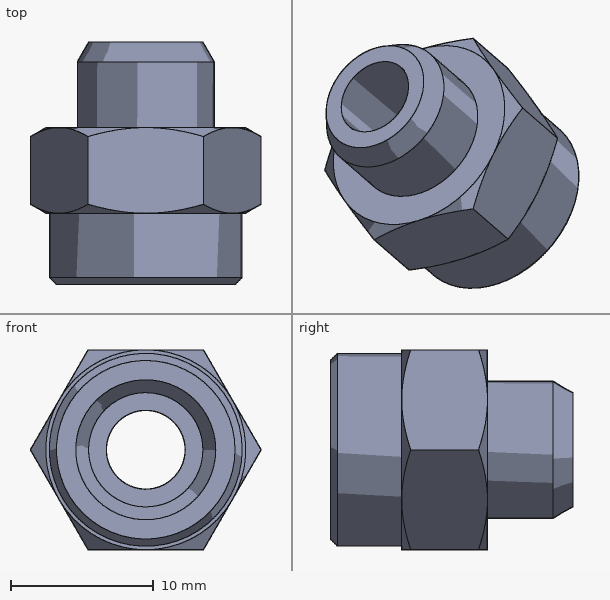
import cadquery as cq
import math


socket_length = 5.0
hex_length = 6.0
spigot_length = 6.0
hex_start = socket_length
hex_end = hex_start + hex_length
total_length = hex_end + spigot_length

socket_diameter = 13.5
socket_chamfer = 0.5
across_flats = 14.0
hex_sides = 6
across_corners = across_flats / math.cos(math.pi / hex_sides)
hex_chamfer_angle = 30.0
spigot_diameter = 9.6
spigot_chamfer_length = 1.4
spigot_chamfer_angle = 30.0

through_diameter = 5.5
bore_diameter = 8.0
bore_depth = 7.0
mouth_chamfer = 0.9


def revolve_profile(points):
    """Turn a closed (radius, Y) outline about the Y axis."""
    return cq.Workplane("XY").polyline(points).close().revolve(axisStart=(0, 0, 0), axisEnd=(0, 1, 0))


def make_socket_body():
    """Outer cylinder of the socket, with a 45 degree chamfer at its open end."""
    radius = socket_diameter / 2
    return revolve_profile([
        (0, 0),
        (radius - socket_chamfer, 0),
        (radius, socket_chamfer),
        (radius, hex_start),
        (0, hex_start),
    ])


def make_hexagon():
    """Hexagonal collar, corners on the X axis, with both ends chamfered to the flats."""
    prism = (
        cq.Workplane("XZ", origin=(0, hex_end, 0))
        .polygon(hex_sides, across_corners)
        .extrude(hex_length)
    )
    flat_radius = across_flats / 2
    corner_radius = across_corners / 2
    chamfer_length = (corner_radius - flat_radius) * math.tan(math.radians(hex_chamfer_angle))
    envelope = revolve_profile([
        (0, hex_start),
        (flat_radius, hex_start),
        (corner_radius, hex_start + chamfer_length),
        (corner_radius, hex_end - chamfer_length),
        (flat_radius, hex_end),
        (0, hex_end),
    ])
    return prism.intersect(envelope)


def make_spigot():
    """Narrow end of the fitting, tapering over its last stretch."""
    radius = spigot_diameter / 2
    tip_radius = radius - spigot_chamfer_length * math.tan(math.radians(spigot_chamfer_angle))
    return revolve_profile([
        (0, hex_end),
        (radius, hex_end),
        (radius, total_length - spigot_chamfer_length),
        (tip_radius, total_length),
        (0, total_length),
    ])


def make_bore():
    """Through hole, wider socket bore and its 45 degree mouth chamfer, as one cutting body."""
    bore_radius = bore_diameter / 2
    through_radius = through_diameter / 2
    return revolve_profile([
        (0, 0),
        (bore_radius + mouth_chamfer, 0),
        (bore_radius, mouth_chamfer),
        (bore_radius, bore_depth),
        (through_radius, bore_depth),
        (through_radius, total_length),
        (0, total_length),
    ])


result = make_socket_body().union(make_hexagon()).union(make_spigot()).cut(make_bore())